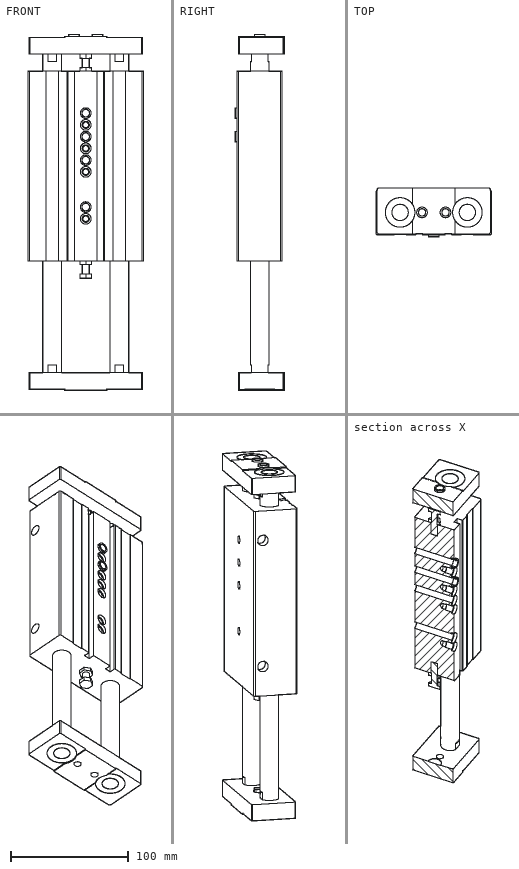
import cadquery as cq
import math


SLEEVE_PROJECTION = 1.5
OVERALL_HEIGHT = 302
YOKE_TOP = OVERALL_HEIGHT / 2 - SLEEVE_PROJECTION
YOKE_BOTTOM = -OVERALL_HEIGHT / 2
PLATE_LENGTH = 96.0
PLATE_DEPTH = 39.0
PLATE_THICKNESS = 15.0
PLATE_BACK_Y = 20.8
PLATE_EDGE_CHAMFER = 1.0
PAD_LENGTH = 36.0
PAD_HEIGHT = 1.0
ROD_DIAMETER = 16.0
ROD_SPACING = 57.0
ROD_FLATS = 14.2
ROD_FLAT_HEIGHT = 6.3
ROD_SEAT_DIAMETER = 25.0
ROD_END_DIAMETER = 14.0
STOP_FACE_DIAMETER = 12.0
SHALLOW_RECESS = 0.3
PLATE_HOLE_DIAMETER = 6.0
PLATE_HOLE_SPACING = 20.0

OVERALL_DEPTH = 41.7
HOUSING_WIDTH = 98.0
HOUSING_DEPTH = 38.3
HOUSING_LENGTH = 161.2
HOUSING_FRONT_Y = PLATE_BACK_Y - OVERALL_DEPTH + SLEEVE_PROJECTION
HOUSING_EDGE_CHAMFER = 1.2
STOP_GAP = 14.5
HOUSING_TOP = YOKE_TOP - PLATE_THICKNESS - STOP_GAP
HOUSING_BOTTOM = HOUSING_TOP - HOUSING_LENGTH
SLOT_INNER_X = 9.7
SLOT_OUTER_X = 15.0
SLOT_DEPTH = 5.5
SLOT_CHAMFER = 0.75
LEDGE_INNER_X = 23.2
LEDGE_OUTER_X = 33.5
LEDGE_DEPTH = 0.5

HOLE_PITCH = 10.0
FIRST_HOLE_DROP = 35.5
THROUGH_HOLE_STEPS = (0, 2, 4, 8)
SLEEVED_HOLE_STEPS = (0, 2)
THROUGH_HOLE_DIAMETER = 6.3
BLIND_HOLE_DIAMETER = 4.8
BLIND_HOLE_DEPTH = 12.0
THREAD_DIAMETER = 6.0
THREAD_DEPTH = 9.0

PORT_DIAMETER = 9.0
PORT_DEPTH = 9.0
PORT_Y = 11.2
PORT_END_DISTANCE = 25.7
DRILL_POINT_ANGLE = 118

SLEEVE_DIAMETER = 9.0
SLEEVE_BORE = 6.3
SLEEVE_SEAT_DEPTH = 2.7

STOP_DIAMETER = 6.0
STOP_EMBEDDED_LENGTH = 12.0
HEX_ACROSS_FLATS = 10.0
HEAD_THICKNESS = 3.5
NUT_THICKNESS = 3.0

ROD_XS = (-ROD_SPACING / 2, ROD_SPACING / 2)
PLATE_HOLE_XS = (-PLATE_HOLE_SPACING / 2, PLATE_HOLE_SPACING / 2)
HEX_CIRCUMDIAMETER = HEX_ACROSS_FLATS / math.cos(math.pi / 6)
FIRST_HOLE_Z = HOUSING_TOP - FIRST_HOLE_DROP


def upright_cylinder(x, z, diameter, height):
    """Cylinder on the plane Y = 0, rising from z."""
    return cq.Workplane("XY", origin=(x, 0, z)).circle(diameter / 2).extrude(height)


def front_cylinder(z, diameter, y, depth):
    """Cylinder on X = 0, running from y toward +Y."""
    return cq.Workplane("XZ", origin=(0, y, z)).circle(diameter / 2).extrude(-depth)


def hex_prism(z, height):
    """Hexagonal prism on the Z axis with its corners toward -Y and +Y."""
    prism = cq.Workplane("XY").polygon(6, HEX_CIRCUMDIAMETER).extrude(height)
    return prism.rotate((0, 0, 0), (0, 0, 1), 30).translate((0, 0, z))


def drilled_hole(start, direction, diameter, depth):
    """Blind drill cut with a conical end, as a solid to subtract."""
    radius = diameter / 2
    point_depth = radius / math.tan(math.radians(DRILL_POINT_ANGLE / 2))
    shaft = cq.Solid.makeCylinder(radius, depth, start, direction)
    point = cq.Solid.makeCone(radius, 0, point_depth, start + direction * depth, direction)
    return cq.Workplane(shaft).union(cq.Workplane(point))


def make_end_plate():
    """End plate with its inner face at Z = 0 and its outer pad facing +Z."""
    base_thickness = PLATE_THICKNESS - PAD_HEIGHT
    middle_y = PLATE_BACK_Y - PLATE_DEPTH / 2
    base = cq.Workplane("XY", origin=(0, middle_y, 0))
    plate = base.rect(PLATE_LENGTH, PLATE_DEPTH).extrude(base_thickness)
    plate = plate.edges("|Z").chamfer(PLATE_EDGE_CHAMFER)
    plate = plate.union(base.rect(PAD_LENGTH, PLATE_DEPTH).extrude(PLATE_THICKNESS))
    ring_floor = base_thickness - SHALLOW_RECESS
    for x in ROD_XS:
        seat = upright_cylinder(x, ring_floor, ROD_SEAT_DIAMETER, PLATE_THICKNESS)
        plate = plate.cut(seat)
        plate = plate.union(upright_cylinder(x, 0, ROD_END_DIAMETER, base_thickness))
    for x in PLATE_HOLE_XS:
        plate = plate.cut(upright_cylinder(x, 0, PLATE_HOLE_DIAMETER, PLATE_THICKNESS))
    return plate.cut(upright_cylinder(0, 0, STOP_FACE_DIAMETER, SHALLOW_RECESS))


def make_yoke():
    """Two rods joined to an end plate at each end."""
    rod_start = YOKE_BOTTOM + PLATE_THICKNESS
    rod_end = YOKE_TOP - PLATE_THICKNESS
    plate = make_end_plate()
    upper_plate = plate.translate((0, 0, rod_end))
    for x in PLATE_HOLE_XS:
        seat_floor = YOKE_TOP - SLEEVE_SEAT_DEPTH
        upper_plate = upper_plate.cut(upright_cylinder(x, seat_floor, SLEEVE_DIAMETER, SLEEVE_SEAT_DEPTH))
    lower_plate = plate.mirror("XY").translate((0, 0, rod_start))

    yoke = upper_plate.union(lower_plate)
    for x in ROD_XS:
        rod = upright_cylinder(x, rod_start, ROD_DIAMETER, rod_end - rod_start)
        for z in (rod_start + ROD_FLAT_HEIGHT / 2, rod_end - ROD_FLAT_HEIGHT / 2):
            collar = cq.Workplane("XY").box(ROD_DIAMETER, ROD_DIAMETER, ROD_FLAT_HEIGHT)
            collar = collar.cut(cq.Workplane("XY").box(ROD_DIAMETER, ROD_FLATS, ROD_FLAT_HEIGHT))
            rod = rod.cut(collar.translate((x, 0, z)))
        yoke = yoke.union(rod)
    return yoke


def cut_profile_grooves(body):
    """Lengthwise slots and shallow ledges in the front face, alike on both sides of X = 0."""
    y = HOUSING_FRONT_Y
    slot = [
        (SLOT_INNER_X, y),
        (SLOT_INNER_X, y + SLOT_DEPTH),
        (SLOT_OUTER_X, y + SLOT_DEPTH),
        (SLOT_OUTER_X, y + SLOT_CHAMFER),
        (SLOT_OUTER_X + SLOT_CHAMFER, y),
    ]
    ledge = [
        (LEDGE_INNER_X, y),
        (LEDGE_INNER_X, y + LEDGE_DEPTH),
        (LEDGE_OUTER_X, y + LEDGE_DEPTH),
        (LEDGE_OUTER_X, y),
    ]
    for outline in (slot, ledge):
        base = cq.Workplane("XY", origin=(0, 0, HOUSING_BOTTOM))
        groove = base.polyline(outline).close().extrude(HOUSING_LENGTH)
        body = body.cut(groove).cut(groove.mirror("YZ"))
    return body


def cut_mounting_holes(body):
    """Row of sleeve seats, each leading into a through hole or a threaded blind hole."""
    y = HOUSING_FRONT_Y
    for step in THROUGH_HOLE_STEPS:
        through_z = FIRST_HOLE_Z - step * HOLE_PITCH
        blind_z = through_z - HOLE_PITCH
        for z in (through_z, blind_z):
            body = body.cut(front_cylinder(z, SLEEVE_DIAMETER, y, SLEEVE_SEAT_DEPTH))
        body = body.cut(front_cylinder(through_z, THROUGH_HOLE_DIAMETER, y, HOUSING_DEPTH))
        body = body.cut(front_cylinder(blind_z, THREAD_DIAMETER, y, THREAD_DEPTH))
        start = cq.Vector(0, y, blind_z)
        body = body.cut(drilled_hole(start, cq.Vector(0, 1, 0), BLIND_HOLE_DIAMETER, BLIND_HOLE_DEPTH))
    return body


def make_housing():
    """Grooved block with the rod bores, air ports and stop bolt holes."""
    middle_y = HOUSING_FRONT_Y + HOUSING_DEPTH / 2
    base = cq.Workplane("XY", origin=(0, middle_y, HOUSING_BOTTOM))
    body = base.rect(HOUSING_WIDTH, HOUSING_DEPTH).extrude(HOUSING_LENGTH)
    body = body.edges("|Z").chamfer(HOUSING_EDGE_CHAMFER)
    body = cut_profile_grooves(body)
    body = cut_mounting_holes(body)
    for x in ROD_XS:
        body = body.cut(upright_cylinder(x, HOUSING_BOTTOM, ROD_DIAMETER, HOUSING_LENGTH))
    for z in (HOUSING_TOP - PORT_END_DISTANCE, HOUSING_BOTTOM + PORT_END_DISTANCE):
        start = cq.Vector(-HOUSING_WIDTH / 2, PORT_Y, z)
        body = body.cut(drilled_hole(start, cq.Vector(1, 0, 0), PORT_DIAMETER, PORT_DEPTH))
    for z in (HOUSING_TOP - STOP_EMBEDDED_LENGTH, HOUSING_BOTTOM):
        body = body.cut(upright_cylinder(0, z, STOP_DIAMETER, STOP_EMBEDDED_LENGTH))
    return body


def make_sleeve():
    """Centring sleeve along Z, with its seated end at Z = 0."""
    rings = cq.Workplane("XY").circle(SLEEVE_DIAMETER / 2).circle(SLEEVE_BORE / 2)
    return rings.extrude(SLEEVE_SEAT_DEPTH + SLEEVE_PROJECTION)


def make_stop_bolt():
    """Stop bolt rising along Z from the housing end face at Z = 0."""
    head_start = STOP_GAP - HEAD_THICKNESS
    shank = upright_cylinder(0, -STOP_EMBEDDED_LENGTH, STOP_DIAMETER, STOP_EMBEDDED_LENGTH + head_start)
    return shank.union(hex_prism(head_start, HEAD_THICKNESS))


def make_lock_nut():
    """Lock nut resting on the housing end face at Z = 0."""
    return hex_prism(0, NUT_THICKNESS).cut(upright_cylinder(0, 0, STOP_DIAMETER, NUT_THICKNESS))


housing = make_housing()
yoke = make_yoke()

sleeves = []
for x in PLATE_HOLE_XS:
    sleeves.append(make_sleeve().translate((x, 0, YOKE_TOP - SLEEVE_SEAT_DEPTH)))
for step in SLEEVED_HOLE_STEPS:
    front_sleeve = make_sleeve().rotate((0, 0, 0), (1, 0, 0), 90)
    sleeve_z = FIRST_HOLE_Z - step * HOLE_PITCH
    sleeves.append(front_sleeve.translate((0, HOUSING_FRONT_Y + SLEEVE_SEAT_DEPTH, sleeve_z)))

stop_bolts = []
lock_nuts = []
for bodies, part in ((stop_bolts, make_stop_bolt()), (lock_nuts, make_lock_nut())):
    bodies.append(part.translate((0, 0, HOUSING_TOP)))
    bodies.append(part.mirror("XY").translate((0, 0, HOUSING_BOTTOM)))

all_bodies = [housing, yoke, *sleeves, *stop_bolts, *lock_nuts]
result = cq.Compound.makeCompound([body.solids().val() for body in all_bodies])